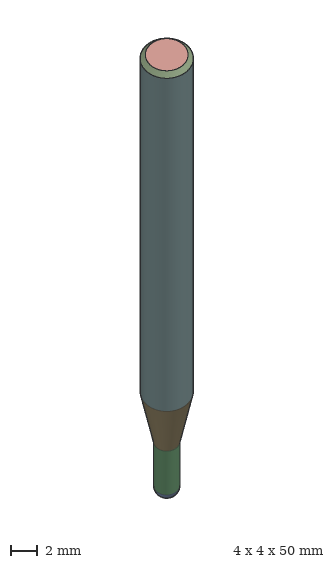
import cadquery as cq
import math

total_length = 50.0
shank_radius = 2.0
neck_radius = 1.0
neck_top = 6.0
taper_half_angle = 10.0
end_chamfer = 0.4

taper_length = (shank_radius - neck_radius) / math.tan(math.radians(taper_half_angle))
taper_top = neck_top + taper_length

arc_offset = neck_radius * math.sin(math.pi / 4)
arc_middle = (arc_offset, neck_radius - arc_offset)

half_profile = (
    cq.Workplane("XZ")
    .moveTo(0, 0)
    .threePointArc(arc_middle, (neck_radius, neck_radius))
    .lineTo(neck_radius, neck_top)
    .lineTo(shank_radius, taper_top)
    .lineTo(shank_radius, total_length - end_chamfer)
    .lineTo(shank_radius - end_chamfer, total_length)
    .lineTo(0, total_length)
    .close()
)

result = half_profile.revolve(360, (0, 0, 0), (0, 1, 0))